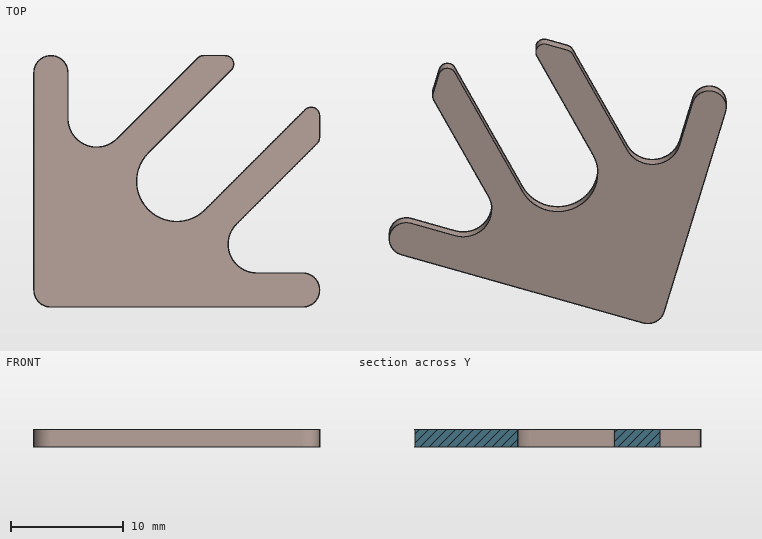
import cadquery as cq
import math

LENGTH = 25.4
WIDTH = 22.352
THICKNESS = 1.5748

ARM_WIDTH = 3.048
ARM_END_RADIUS = ARM_WIDTH / 2

SIDE_NOTCH_RADIUS = 2.54
CENTRE_NOTCH_RADIUS = 3.556
SIDE_NOTCH_OFFSET = ARM_WIDTH + SIDE_NOTCH_RADIUS
LEFT_NOTCH = (SIDE_NOTCH_OFFSET, WIDTH - SIDE_NOTCH_OFFSET)
BOTTOM_NOTCH = (LENGTH - SIDE_NOTCH_OFFSET, SIDE_NOTCH_OFFSET)
CENTRE_NOTCH = (LENGTH / 2, WIDTH / 2)

TINE_TIP_RADIUS = 0.762

DIAGONAL = math.radians(45)


def on_circle(centre, radius, angle):
    """Point on a circle at the given angle in radians."""
    return (centre[0] + radius * math.cos(angle), centre[1] + radius * math.sin(angle))


def to_top_edge(point):
    """Follow the 45 degree direction from a point up to the plate's top edge."""
    return (point[0] + WIDTH - point[1], WIDTH)


def to_right_edge(point):
    """Follow the 45 degree direction from a point out to the plate's right edge."""
    return (LENGTH, point[1] + LENGTH - point[0])


def plate_blank():
    """Flat plate with round-ended arms, sharp-cornered tines and round-bottomed notches."""
    lower_side = -DIAGONAL
    upper_side = math.pi - DIAGONAL
    notch_floor = math.pi + DIAGONAL

    left_notch_exit = on_circle(LEFT_NOTCH, SIDE_NOTCH_RADIUS, lower_side)
    centre_notch_entry = on_circle(CENTRE_NOTCH, CENTRE_NOTCH_RADIUS, upper_side)
    centre_notch_exit = on_circle(CENTRE_NOTCH, CENTRE_NOTCH_RADIUS, lower_side)
    bottom_notch_entry = on_circle(BOTTOM_NOTCH, SIDE_NOTCH_RADIUS, upper_side)

    return (
        cq.Workplane("XY")
        .moveTo(0, 0)
        .lineTo(0, WIDTH - ARM_END_RADIUS)
        .threePointArc((ARM_END_RADIUS, WIDTH), (ARM_WIDTH, WIDTH - ARM_END_RADIUS))
        .lineTo(ARM_WIDTH, LEFT_NOTCH[1])
        .threePointArc(on_circle(LEFT_NOTCH, SIDE_NOTCH_RADIUS, notch_floor), left_notch_exit)
        .lineTo(*to_top_edge(left_notch_exit))
        .lineTo(*to_top_edge(centre_notch_entry))
        .lineTo(*centre_notch_entry)
        .threePointArc(on_circle(CENTRE_NOTCH, CENTRE_NOTCH_RADIUS, notch_floor), centre_notch_exit)
        .lineTo(*to_right_edge(centre_notch_exit))
        .lineTo(*to_right_edge(bottom_notch_entry))
        .lineTo(*bottom_notch_entry)
        .threePointArc(
            on_circle(BOTTOM_NOTCH, SIDE_NOTCH_RADIUS, notch_floor),
            (BOTTOM_NOTCH[0], ARM_WIDTH),
        )
        .lineTo(LENGTH - ARM_END_RADIUS, ARM_WIDTH)
        .threePointArc((LENGTH, ARM_END_RADIUS), (LENGTH - ARM_END_RADIUS, 0))
        .close()
        .extrude(THICKNESS)
    )


def round_corners(plate):
    """Round the plate's outer corner and both corners of each tine tip."""
    outer_corner = cq.selectors.NearestToPointSelector((0, 0, THICKNESS / 2))
    rounded = plate.edges("|Z").edges(outer_corner).fillet(ARM_END_RADIUS)

    top_tip = cq.selectors.BoxSelector(
        (CENTRE_NOTCH[0], WIDTH - TINE_TIP_RADIUS, 0),
        (LENGTH, WIDTH + TINE_TIP_RADIUS, THICKNESS),
    )
    right_tip = cq.selectors.BoxSelector(
        (LENGTH - TINE_TIP_RADIUS, CENTRE_NOTCH[1], 0),
        (LENGTH + TINE_TIP_RADIUS, WIDTH, THICKNESS),
    )
    return rounded.edges("|Z").edges(top_tip + right_tip).fillet(TINE_TIP_RADIUS)


result = round_corners(plate_blank())